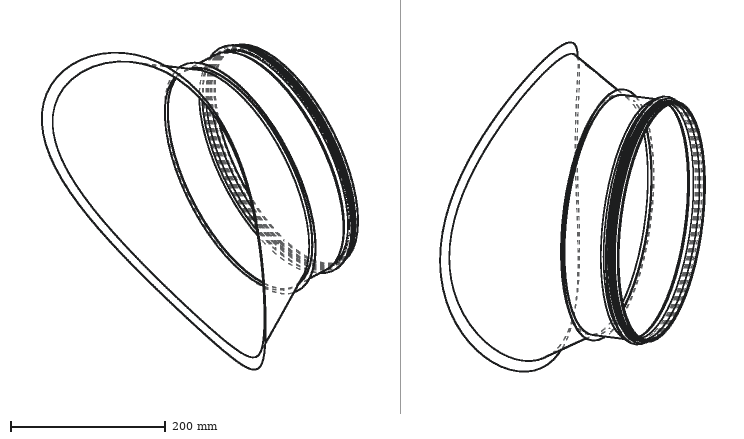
import cadquery as cq
import math


sheet = 0.5
neck_radius = 314.0 / 2
groove_radius = 309.0 / 2

cone_half_angle = 30
seam_y = 5.0
seam_flange_radius = 328.0 / 2
crown_depth = 70.5
duct_radius = 500.0
skirt_half_length = 486.0 / 2
skirt_half_height = 423.5 / 2
skirt_crown_depth = 74.5
skirt_edge_depth = 134.5
curve_points = 48

overall_depth = 214.5
spigot_end_y = overall_depth - skirt_edge_depth
hem_length = 5.0
hem_bevel = 1.0
step_bottom_y = 55.5
step_top_y = 58.5

gasket_base_radius = 312.0 / 2
gasket_top_y = 72.5
lip_thickness = 1.5
outer_lip_y = 69.0
outer_lip_radius = 319.5 / 2
inner_lip_y = 64.0
inner_lip_radius = 324.0 / 2

cone_slope = math.tan(math.radians(cone_half_angle))
neck_bore_radius = neck_radius - sheet
skirt_sag = skirt_edge_depth - skirt_crown_depth
skirt_arc_radius = (skirt_half_length**2 + skirt_sag**2) / (2 * skirt_sag)


def revolve_about_branch(points):
    """Turn a closed (radius, y) outline about the Y axis."""
    return cq.Workplane("XY").polyline(points).close().revolve(360, (0, 0, 0), (0, 1, 0))


def cone_foot_point(angle, top_radius, crown):
    """Point at this angle where a cone of this top radius meets a duct whose crown is this deep."""
    c = math.cos(angle)
    reach = duct_radius + crown
    square_term = 1 + (cone_slope * c) ** 2
    half_linear_term = top_radius * cone_slope * c**2 - reach
    constant_term = reach**2 - duct_radius**2 + (top_radius * c) ** 2
    root = math.sqrt(half_linear_term**2 - square_term * constant_term)
    depth = (-half_linear_term - root) / square_term
    radius = top_radius + cone_slope * depth
    return cq.Vector(radius * c, -depth, radius * math.sin(angle))


def skirt_edge_point(angle, height):
    """Point at this angle on the oval outer edge of the skirt, this high above its underside."""
    x = skirt_half_length * math.cos(angle)
    z = skirt_half_height * math.sin(angle)
    depth = skirt_crown_depth + skirt_arc_radius - math.sqrt(skirt_arc_radius**2 - x**2)
    return cq.Vector(x, height - depth, z)


def closed_curve(point_at, *sizes):
    """Smooth closed curve through points at equal angles about the Y axis, starting at +X."""
    angles = [2 * math.pi * i / curve_points for i in range(curve_points + 1)]
    points = [point_at(angle, *sizes) for angle in angles[:-1]]
    return cq.Edge.makeSpline(points, periodic=True, parameters=angles)


def circle_about_branch(radius, y):
    return cq.Workplane("XZ", origin=(0, y, 0)).circle(radius).edges().val()


def make_saddle():
    """Seam flange, short neck, cone cut to the duct, and oval skirt, as one bent sheet."""
    rings = [
        circle_about_branch(neck_bore_radius, seam_y),
        circle_about_branch(seam_flange_radius, seam_y),
        circle_about_branch(seam_flange_radius, seam_y - sheet),
        circle_about_branch(neck_radius, seam_y - sheet),
        circle_about_branch(neck_radius, 0),
        closed_curve(cone_foot_point, neck_radius, crown_depth),
        closed_curve(skirt_edge_point, sheet),
        closed_curve(skirt_edge_point, 0),
        closed_curve(cone_foot_point, neck_bore_radius, crown_depth + sheet),
        circle_about_branch(neck_bore_radius, 0),
    ]
    faces = [cq.Face.makeRuledSurface(rings[i - 1], rings[i]) for i in range(len(rings))]
    return cq.Workplane(cq.Solid.makeSolid(cq.Shell.makeShell(faces)).fix())


def make_spigot():
    """Neck with a seam flange, a step in to the gasket seat, and a bevelled, hemmed end."""
    groove_bore_radius = groove_radius - sheet
    hem_y = spigot_end_y - hem_length
    bevel_y = spigot_end_y - hem_bevel
    return revolve_about_branch([
        (neck_bore_radius, seam_y),
        (seam_flange_radius, seam_y),
        (seam_flange_radius, seam_y + sheet),
        (neck_radius, seam_y + sheet),
        (neck_radius, step_bottom_y),
        (groove_radius, step_top_y),
        (groove_radius, gasket_top_y),
        (gasket_base_radius, gasket_top_y),
        (gasket_base_radius, hem_y),
        (neck_radius, hem_y),
        (neck_radius, bevel_y),
        (neck_radius - hem_bevel, spigot_end_y),
        (groove_bore_radius + hem_bevel, spigot_end_y),
        (groove_bore_radius, bevel_y),
        (groove_bore_radius, step_top_y),
        (neck_bore_radius, step_bottom_y),
    ])


def make_gasket():
    """Rubber ring with a top shoulder and two lips, seated against the hem."""
    return revolve_about_branch([
        (groove_radius, inner_lip_y),
        (inner_lip_radius, inner_lip_y),
        (inner_lip_radius, inner_lip_y + lip_thickness),
        (gasket_base_radius, inner_lip_y + lip_thickness),
        (gasket_base_radius, outer_lip_y),
        (outer_lip_radius, outer_lip_y),
        (outer_lip_radius, outer_lip_y + lip_thickness),
        (neck_radius, outer_lip_y + lip_thickness),
        (neck_radius, gasket_top_y),
        (groove_radius, gasket_top_y),
    ])


saddle = make_saddle()
spigot = make_spigot()
gasket = make_gasket()
result = cq.Compound.makeCompound([saddle.val(), spigot.val(), gasket.val()])